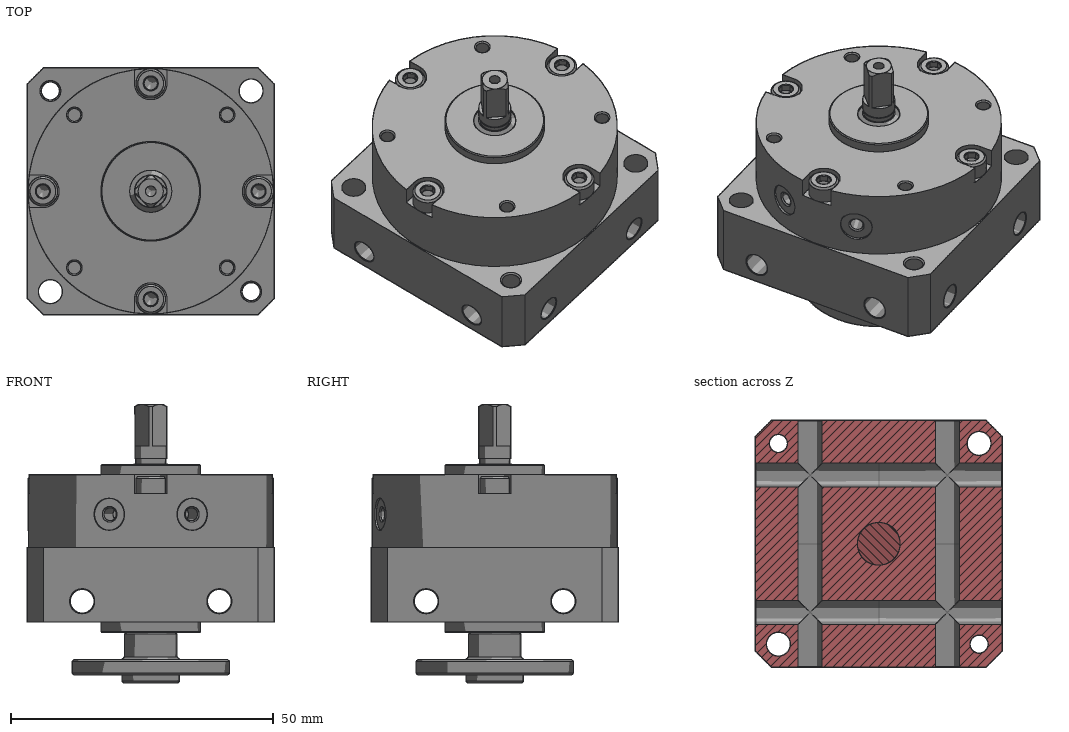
import cadquery as cq
import math

shaft_length = 53.0
flange_bottom_z = 1.55
flange_top_z = 4.5
lower_boss_z = 9.6
base_bottom_z = 11.6
base_top_z = 25.8
drum_top_z = 39.65
upper_boss_z = 41.55

base_width = 47.0
base_corner_chamfer = 3.15
drum_diameter = 46.65
boss_diameter = 19.0
boss_chamfer = 0.2
shaft_bore_diameter = 8.0

corner_hole_offset = 19.1
clearance_hole_diameter = 4.5
threaded_hole_diameter = 3.4
threaded_hole_mouth = 4.0

side_hole_offset = 13.05
side_hole_z = 15.6
side_hole_diameter = 4.5
side_hole_mouth = 4.75

face_hole_offset = 14.5
face_hole_diameter = 2.45
face_hole_mouth = 2.95
face_hole_depth = 5.0

screw_offset = 20.5
screw_pocket_diameter = 6.2
screw_pocket_floor_z = 36.1
screw_head_diameter = 5.6
screw_head_top_z = 39.3
screw_head_chamfer = 0.35
socket_width = 2.5
socket_mouth_diameter = 2.85
socket_depth = 1.3

port_angle = 20.0
port_z = 32.1
port_seat_diameter = 6.1
port_seat_distance = 22.85
port_hole_diameter = 2.45
port_hole_mouth = 2.95
port_hole_depth = 5.2

flange_diameter = 30.0
flange_chamfer = 0.35
spigot_diameter = 11.0
spigot_chamfer = 0.35
collar_diameter = 10.0
collar_base_diameter = 11.0
collar_chamfer = 0.25
bearing_shoulder_z = 41.2
journal_diameter = 6.1
shoulder_top_diameter = 6.2
groove_diameter = 5.7
groove_bottom_z = 41.7
groove_top_z = 42.7
square_bottom_z = 45.05
square_width = 4.75
shaft_end_diameter = 4.75
shaft_end_chamfer_height = 0.4
center_hole_diameter = 2.0
center_hole_depth = 2.1

drill_point_angle = 118.0


def drill_point_height(diameter):
    """Height of the cone that a drill leaves at the end of a hole."""
    return diameter / 2 / math.tan(math.radians(drill_point_angle / 2))


def chamfered_hole(diameter, mouth_diameter, depth):
    """Flat-ended hole cutter going down from the origin, with a 45 degree chamfer at its mouth."""
    radius = diameter / 2
    mouth_radius = mouth_diameter / 2
    return (
        cq.Workplane("XZ")
        .polyline([
            (0, 0),
            (mouth_radius, 0),
            (radius, radius - mouth_radius),
            (radius, -depth),
            (0, -depth),
        ])
        .close()
        .revolve(360, (0, 0, 0), (0, 1, 0))
    )


def drilled_hole(diameter, depth):
    """Hole cutter going down from the origin, ending in a drill point."""
    radius = diameter / 2
    return (
        cq.Workplane("XZ")
        .polyline([
            (0, 0),
            (radius, 0),
            (radius, -depth),
            (0, -depth - drill_point_height(diameter)),
        ])
        .close()
        .revolve(360, (0, 0, 0), (0, 1, 0))
    )


def chamfered_through_hole(diameter, mouth_diameter, length):
    """Through-hole cutter centred on the origin along Z, chamfered at both ends."""
    half = chamfered_hole(diameter, mouth_diameter, length / 2).translate((0, 0, length / 2))
    return half.union(half.mirror("XY"))


def housing_body():
    """Square base with a round drum on top and a centring boss at each end."""
    base = (
        cq.Workplane("XY")
        .workplane(offset=base_bottom_z)
        .rect(base_width, base_width)
        .extrude(base_top_z - base_bottom_z)
        .edges("|Z")
        .chamfer(base_corner_chamfer)
    )
    drum = (
        cq.Workplane("XY")
        .workplane(offset=base_top_z)
        .circle(drum_diameter / 2)
        .extrude(drum_top_z - base_top_z)
    )
    bosses = (
        cq.Workplane("XY")
        .workplane(offset=lower_boss_z)
        .circle(boss_diameter / 2)
        .extrude(upper_boss_z - lower_boss_z)
        .edges()
        .chamfer(boss_chamfer)
    )
    return base.union(drum).union(bosses)


def cut_shaft_bore(body):
    """Plain shaft bore through the whole housing."""
    bore = (
        cq.Workplane("XY")
        .workplane(offset=lower_boss_z)
        .circle(shaft_bore_diameter / 2)
        .extrude(upper_boss_z - lower_boss_z)
    )
    return body.cut(bore)


def cut_corner_holes(body):
    """Vertical base holes: plain ones on one diagonal, chamfered threaded ones on the other."""
    height = base_top_z - base_bottom_z
    middle_z = (base_top_z + base_bottom_z) / 2
    clearance = cq.Workplane("XY").circle(clearance_hole_diameter / 2).extrude(height, both=True)
    threaded = chamfered_through_hole(threaded_hole_diameter, threaded_hole_mouth, height)
    for side in (-1, 1):
        x = side * corner_hole_offset
        body = body.cut(clearance.translate((x, x, middle_z)))
        body = body.cut(threaded.translate((x, -x, middle_z)))
    return body


def cut_side_holes(body):
    """Two holes through the base along X and two along Y."""
    along_z = chamfered_through_hole(side_hole_diameter, side_hole_mouth, base_width)
    along_x = along_z.rotate((0, 0, 0), (0, 1, 0), 90)
    along_y = along_z.rotate((0, 0, 0), (1, 0, 0), 90)
    for offset in (-side_hole_offset, side_hole_offset):
        body = body.cut(along_x.translate((0, offset, side_hole_z)))
        body = body.cut(along_y.translate((offset, 0, side_hole_z)))
    return body


def cut_face_holes(body):
    """Four blind holes in the top face of the drum."""
    hole = chamfered_hole(face_hole_diameter, face_hole_mouth, face_hole_depth)
    for x in (-face_hole_offset, face_hole_offset):
        for y in (-face_hole_offset, face_hole_offset):
            body = body.cut(hole.translate((x, y, drum_top_z)))
    return body


def hexagon_socket():
    """Hexagon socket cutter going down from the origin: chamfered mouth, drill point at the end."""
    hexagon = (
        cq.Workplane("XY")
        .polygon(6, socket_width, circumscribed=True)
        .extrude(-socket_depth)
    )
    point = drilled_hole(socket_width, socket_depth)
    mouth = chamfered_hole(socket_width, socket_mouth_diameter, socket_depth)
    return hexagon.union(point).union(mouth)


def add_screws(body):
    """Four cap screw heads, each in a round pocket that is open at the rim of the drum."""
    pocket_height = drum_top_z - screw_pocket_floor_z
    pocket_floor = cq.Workplane("XY").workplane(offset=screw_pocket_floor_z)
    pocket = (
        pocket_floor.center(screw_offset, 0)
        .circle(screw_pocket_diameter / 2)
        .extrude(pocket_height)
    )
    opening = (
        pocket_floor.center(screw_offset, 0)
        .rect(screw_pocket_diameter, screw_pocket_diameter)
        .extrude(pocket_height)
        .translate((screw_pocket_diameter / 2, 0, 0))
    )
    pocket = pocket.union(opening)
    head_height = screw_head_top_z - screw_pocket_floor_z
    head = (
        cq.Workplane("XY")
        .circle(screw_head_diameter / 2)
        .extrude(head_height)
        .faces(">Z")
        .chamfer(screw_head_chamfer)
        .cut(hexagon_socket().translate((0, 0, head_height)))
    )
    for angle in (0, 90, 180, 270):
        body = body.cut(pocket.rotate((0, 0, 0), (0, 0, 1), angle))
        x = screw_offset * math.cos(math.radians(angle))
        y = screw_offset * math.sin(math.radians(angle))
        body = body.union(head.translate((x, y, screw_pocket_floor_z)))
    return body


def cut_ports(body):
    """Two radial ports in the drum, each with a shallow flat seat."""
    seat_depth = drum_diameter / 2 - port_seat_distance
    seat = cq.Workplane("XY").circle(port_seat_diameter / 2).extrude(seat_depth)
    port = chamfered_hole(port_hole_diameter, port_hole_mouth, port_hole_depth).union(seat)
    front_port = port.rotate((0, 0, 0), (1, 0, 0), 90).translate((0, -port_seat_distance, port_z))
    for angle in (-port_angle, port_angle):
        body = body.cut(front_port.rotate((0, 0, 0), (0, 0, 1), angle))
    return body


def make_housing():
    """Complete housing with its bore, holes, screw heads and ports."""
    body = housing_body()
    body = cut_shaft_bore(body)
    body = cut_corner_holes(body)
    body = cut_side_holes(body)
    body = cut_face_holes(body)
    body = add_screws(body)
    return cut_ports(body)


def turned_shaft():
    """Spigot, flange, collar, bearing length and grooved round journal, as one turned profile."""
    spigot = spigot_diameter / 2
    flange = flange_diameter / 2
    collar = collar_diameter / 2
    collar_base = collar_base_diameter / 2
    bearing = shaft_bore_diameter / 2
    shoulder = shoulder_top_diameter / 2
    journal = journal_diameter / 2
    groove = groove_diameter / 2
    return (
        cq.Workplane("XZ")
        .polyline([
            (0, 0),
            (spigot - spigot_chamfer, 0),
            (spigot, spigot_chamfer),
            (spigot, flange_bottom_z),
            (flange - flange_chamfer, flange_bottom_z),
            (flange, flange_bottom_z + flange_chamfer),
            (flange, flange_top_z - flange_chamfer),
            (flange - flange_chamfer, flange_top_z),
            (collar_base, flange_top_z),
            (collar, flange_top_z + collar_base - collar),
            (collar, lower_boss_z - collar_chamfer),
            (collar - collar_chamfer, lower_boss_z),
            (bearing, lower_boss_z),
            (bearing, bearing_shoulder_z),
            (shoulder, groove_bottom_z),
            (groove, groove_bottom_z),
            (groove, groove_top_z),
            (journal, groove_top_z),
            (journal, shaft_length - shaft_end_chamfer_height),
            (shaft_end_diameter / 2, shaft_length),
            (0, shaft_length),
        ])
        .close()
        .revolve(360, (0, 0, 0), (0, 1, 0))
    )


def make_shaft():
    """Turned shaft with a square upper end, its corners on X and Y, and a centre hole."""
    square_height = shaft_length - square_bottom_z
    square_end = cq.Workplane("XY").workplane(offset=square_bottom_z)
    square = square_end.rect(square_width, square_width).extrude(square_height)
    flats = (
        square_end.circle(journal_diameter)
        .extrude(square_height)
        .cut(square.rotate((0, 0, 0), (0, 0, 1), 45))
    )
    center_hole = drilled_hole(center_hole_diameter, center_hole_depth)
    return turned_shaft().cut(flats).cut(center_hole.translate((0, 0, shaft_length)))


housing = make_housing()
shaft = make_shaft()

result = cq.Compound.makeCompound([housing.solids().val(), shaft.solids().val()])